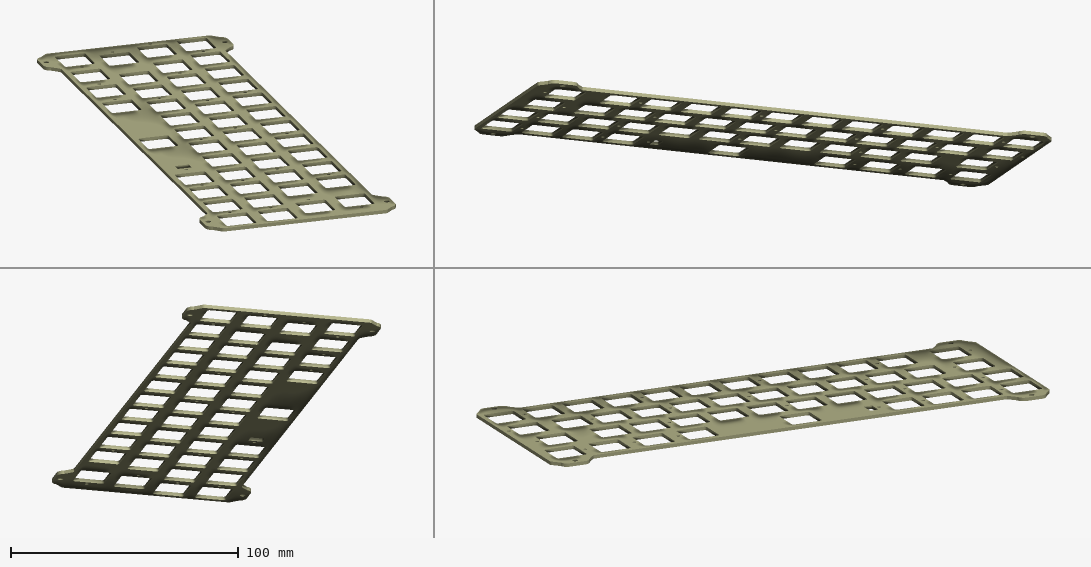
import cadquery as cq

key_pitch = 19.05
plate_columns = 12.75
plate_rows = 4
thickness = 1.59
side_corner_radius = 2.0

cutout_length = 14.6
cutout_width = 14.0
cutout_corner_radius = 1.0

ear_height = 6.0
ear_half_base = 10.5
ear_half_top = 3.9
shoulder_mid = (6.0, 5.1)
shoulder_end = (7.0, 3.5)
sweep_mid = (8.7, 1.7)

mount_diameter = 2.5
mount_rise = 3.3

small_hole_diameter = 1.6

slot_length = 6.5
slot_width = 4.0
slot_corner_radius = 0.5
slot_column = 8.42
slot_hole_column = 8.62
slot_row = 3

plate_length = plate_columns * key_pitch
plate_width = plate_rows * key_pitch

key_rows = [
    [1.0] * 11 + [1.75],
    [1.25] + [1.0] * 10 + [1.5],
    [1.75] + [1.0] * 11,
    [1.25, 1.0, 1.25, 1.0, 4.25] + [1.0] * 4,
]

small_hole_rows = [
    [1.0, 4.0, 7.0, 10.0, 12.375],
    [0.125, 2.25, 4.25, 6.25, 9.25, 11.5],
    [0.375, 3.75, 6.75, 9.75, 11.75],
    [1.125, 2.375, 3.5, slot_hole_column, 9.75, 11.75],
]


def grid_point(column, row):
    """Point at a distance from the left edge in pitches, on the centre line of a row."""
    x = column * key_pitch - plate_length / 2
    y = plate_width / 2 - (row + 0.5) * key_pitch
    return (x, y)


def key_centers():
    centers = []
    for row, widths in enumerate(key_rows):
        left = 0
        for width in widths:
            centers.append(grid_point(left + width / 2, row))
            left += width
    return centers


def small_hole_centers():
    centers = []
    for row, columns in enumerate(small_hole_rows):
        for column in columns:
            centers.append(grid_point(column, row))
    return centers


def mirrored_about_center(x, y):
    return [(x, y), (-x, y), (x, -y), (-x, -y)]


def make_ear():
    """Ear with its base centred on the origin, rising along +Y."""

    def left(point):
        return (-point[0], point[1])

    return (
        cq.Workplane("XY")
        .moveTo(-ear_half_base, 0)
        .threePointArc(left(sweep_mid), left(shoulder_end))
        .threePointArc(left(shoulder_mid), (-ear_half_top, ear_height))
        .lineTo(ear_half_top, ear_height)
        .threePointArc(shoulder_mid, shoulder_end)
        .threePointArc(sweep_mid, (ear_half_base, 0))
        .close()
        .extrude(thickness)
    )


def make_plate():
    plate = cq.Workplane("XY").box(plate_length, plate_width, thickness, centered=(True, True, False))
    ear_x = plate_length / 2 - ear_half_base
    upper_ear = make_ear().translate((0, plate_width / 2, 0))
    lower_ear = upper_ear.mirror("XZ")
    for x in (-ear_x, ear_x):
        plate = plate.union(upper_ear.translate((x, 0, 0)))
        plate = plate.union(lower_ear.translate((x, 0, 0)))
    return plate.edges("|Z and (<X or >X)").fillet(side_corner_radius)


def rounded_rectangles(centers, size_x, size_y, radius):
    profile = cq.Sketch().rect(size_x, size_y).vertices().fillet(radius)
    return cq.Workplane("XY").pushPoints(centers).placeSketch(profile).extrude(thickness)


def round_pins(centers, diameter):
    return cq.Workplane("XY").pushPoints(centers).circle(diameter / 2).extrude(thickness)


mount_centers = mirrored_about_center(
    plate_length / 2 - ear_half_base,
    plate_width / 2 + mount_rise,
)
slot_center = grid_point(slot_column, slot_row)

result = (
    make_plate()
    .cut(rounded_rectangles(key_centers(), cutout_length, cutout_width, cutout_corner_radius))
    .cut(rounded_rectangles([slot_center], slot_width, slot_length, slot_corner_radius))
    .cut(round_pins(small_hole_centers(), small_hole_diameter))
    .cut(round_pins(mount_centers, mount_diameter))
)